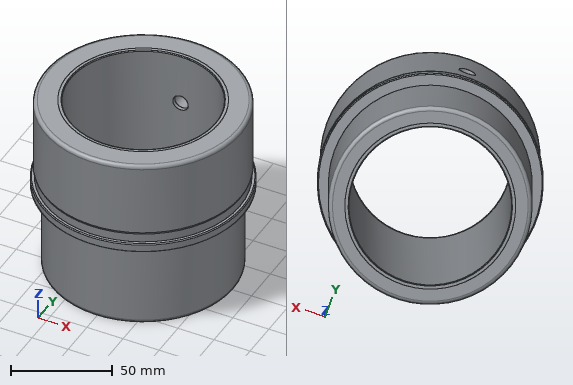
import cadquery as cq

height = 100.0
edge_fillet = 2.0

bore_radius = 40.0
liner_wall = 2.0
liner_radius = bore_radius + liner_wall
bore_chamfer_width = 0.39
bore_chamfer_height = 0.5

shank_radius = 50.0
relief_radius = 49.0
relief_height = 2.1
flange_radius = 55.5
flange_bottom = 48.0
flange_thickness = 5.0
flange_top = flange_bottom + flange_thickness
flange_chamfer = 0.5
neck_radius = 53.5
head_radius = 54.0
head_bottom = 57.8
head_taper_height = 1.2

hole_radius = 4.2
hole_height = 70.9


def revolve_about_z(points):
    """Revolve a closed outline of (radius, height) points about the Z axis."""
    return cq.Workplane("XZ").polyline(points).close().revolve(360, (0, 0), (0, 1))


def make_radial_hole():
    """Cutter running from the axis out through the +Y wall."""
    drill = cq.Solid.makeCylinder(
        hole_radius, flange_radius, cq.Vector(0, 0, hole_height), cq.Vector(0, 1, 0)
    )
    return cq.Workplane(obj=drill)


def make_bushing():
    """Flanged outer sleeve with rounded ends and a plain bore for the liner."""
    body = revolve_about_z([
        (0, 0),
        (shank_radius, 0),
        (shank_radius, flange_bottom - relief_height),
        (relief_radius, flange_bottom),
        (flange_radius - flange_chamfer, flange_bottom),
        (flange_radius, flange_bottom + flange_chamfer),
        (flange_radius, flange_top - flange_chamfer),
        (flange_radius - flange_chamfer, flange_top),
        (neck_radius, flange_top),
        (neck_radius, head_bottom),
        (head_radius, head_bottom + head_taper_height),
        (head_radius, height),
        (0, height),
    ])
    body = body.faces("<Z or >Z").edges().fillet(edge_fillet)
    liner_seat = cq.Workplane("XY").circle(liner_radius).extrude(height)
    return body.cut(liner_seat).cut(make_radial_hole())


def make_liner():
    """Full-length sleeve with both bore mouths chamfered."""
    mouth_radius = bore_radius + bore_chamfer_width
    sleeve = revolve_about_z([
        (mouth_radius, 0),
        (liner_radius, 0),
        (liner_radius, height),
        (mouth_radius, height),
        (bore_radius, height - bore_chamfer_height),
        (bore_radius, bore_chamfer_height),
    ])
    return sleeve.cut(make_radial_hole())


bushing = make_bushing()
liner = make_liner()

result = cq.Compound.makeCompound([bushing.val(), liner.val()])